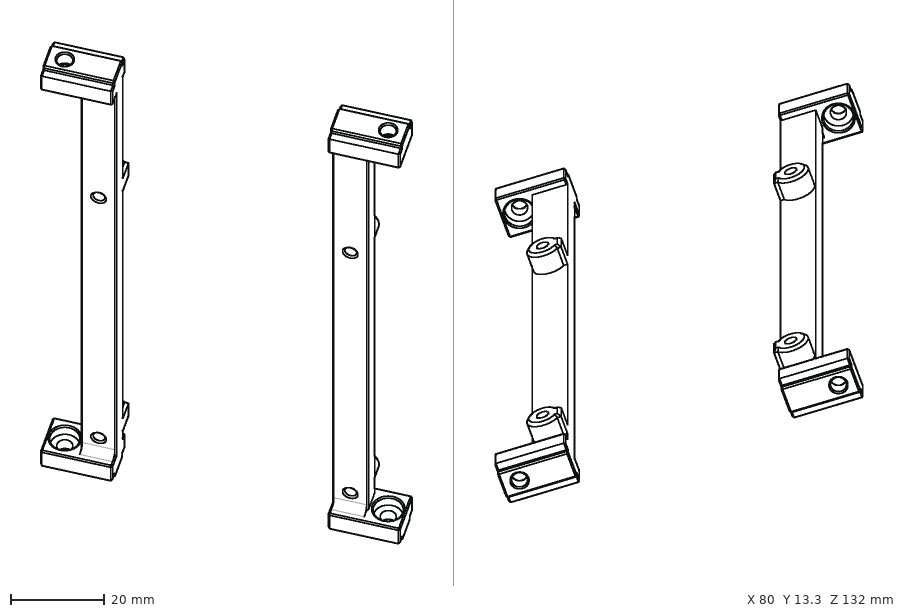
import cadquery as cq

overall_width = 80.0
overall_height = 132.0

head_length = 16.0
head_depth = 9.9
head_height = 6.0
ridge_height = 1.12
ridge_width = 6.5
ridge_bevel = 0.4
screw_hole_diameter = 3.4
counterbore_diameter = 6.5
counterbore_depth = 2.6

column_width = head_length / 2
column_depth = 5.0
column_setback = 3.3
front_fillet_radius = 1.8

boss_diameter = 7.5
boss_reach = 3.4
boss_end_chamfer = 0.7
boss_key_height = 4.2
boss_hole_diameter = 2.6
boss_mouth_diameter = 3.4
lower_boss_height = 10.4
boss_spacing = 80.0

edge_chamfer = 0.33

outer_x = overall_width / 2
inner_x = outer_x - head_length
column_x = inner_x + column_width / 2
screw_x = outer_x - column_width / 2
column_front_y = column_setback - head_depth / 2
column_back_y = column_front_y + column_depth
boss_end_y = head_depth / 2 + boss_reach
boss_heights = (lower_boss_height, lower_boss_height + boss_spacing)


def make_head():
    """Lower head of the right bracket, with its ridge facing down."""
    half_depth = head_depth / 2
    half_ridge = ridge_width / 2
    half_ridge_top = half_ridge - ridge_bevel
    head = (
        cq.Workplane("YZ", origin=(inner_x, 0, 0))
        .moveTo(-half_ridge_top, 0)
        .lineTo(half_ridge_top, 0)
        .lineTo(half_ridge, ridge_bevel)
        .lineTo(half_ridge, ridge_height)
        .lineTo(half_depth, ridge_height)
        .lineTo(half_depth, head_height)
        .lineTo(-half_depth, head_height)
        .lineTo(-half_depth, ridge_height)
        .lineTo(-half_ridge, ridge_height)
        .lineTo(-half_ridge, ridge_bevel)
        .close()
        .extrude(head_length)
    )
    head = head.faces("<X or >X or >Z").edges().chamfer(edge_chamfer)
    screw_hole = (
        cq.Workplane("XY", origin=(screw_x, 0, 0))
        .circle(screw_hole_diameter / 2)
        .extrude(head_height)
    )
    screw_recess = (
        cq.Workplane("XY", origin=(screw_x, 0, head_height - counterbore_depth))
        .circle(counterbore_diameter / 2)
        .extrude(counterbore_depth)
    )
    head = head.cut(screw_hole).cut(screw_recess)
    return head.faces("<Z or >Z").edges("%CIRCLE").chamfer(edge_chamfer)


def make_front_fillet():
    """Concave round between the column front and the lower head."""
    return (
        cq.Workplane("YZ", origin=(inner_x + edge_chamfer, column_front_y, head_height))
        .lineTo(-front_fillet_radius, 0)
        .radiusArc((0, front_fillet_radius), -front_fillet_radius)
        .close()
        .extrude(column_width - 2 * edge_chamfer)
    )


def make_column():
    """Bar that reaches past the chamfered head edges, flush with the inner head ends."""
    bottom = head_height - edge_chamfer
    return (
        cq.Workplane("XY")
        .box(column_width, column_depth, overall_height - 2 * bottom, centered=False)
        .translate((inner_x, column_front_y, bottom))
        .faces("<Y")
        .edges("|Z")
        .chamfer(edge_chamfer)
    )


def make_boss(height):
    """Round boss with a key block that ends flush with the inner column side."""
    boss_length = boss_end_y - column_back_y
    key_length = column_width / 2
    base = cq.Workplane("XZ", origin=(column_x, column_back_y, height))
    barrel = base.circle(boss_diameter / 2).extrude(-boss_length)
    key = base.center(-key_length / 2, 0).rect(key_length, boss_key_height).extrude(-boss_length)
    return barrel.union(key).faces(">Y").chamfer(boss_end_chamfer)


def make_boss_hole(height):
    """Cutter for the hole through column and boss, with its countersunk mouth."""
    hole_radius = boss_hole_diameter / 2
    mouth_radius = boss_mouth_diameter / 2
    mouth_depth = mouth_radius - hole_radius
    hole_length = boss_end_y - column_front_y
    return (
        cq.Workplane("XY", origin=(column_x, column_front_y, height))
        .lineTo(mouth_radius, 0)
        .lineTo(hole_radius, mouth_depth)
        .lineTo(hole_radius, hole_length)
        .lineTo(0, hole_length)
        .close()
        .revolve(360, (0, 0), (0, 1))
    )


def make_right_bracket():
    lower_end = make_head().union(make_front_fillet())
    upper_end = lower_end.mirror("XY", (0, 0, overall_height / 2))
    bracket = make_column().union(lower_end).union(upper_end)
    for height in boss_heights:
        bracket = bracket.union(make_boss(height)).cut(make_boss_hole(height))
    return bracket


right_bracket = make_right_bracket().solids()
left_bracket = right_bracket.mirror("YZ")

result = cq.Compound.makeCompound([left_bracket.val(), right_bracket.val()])